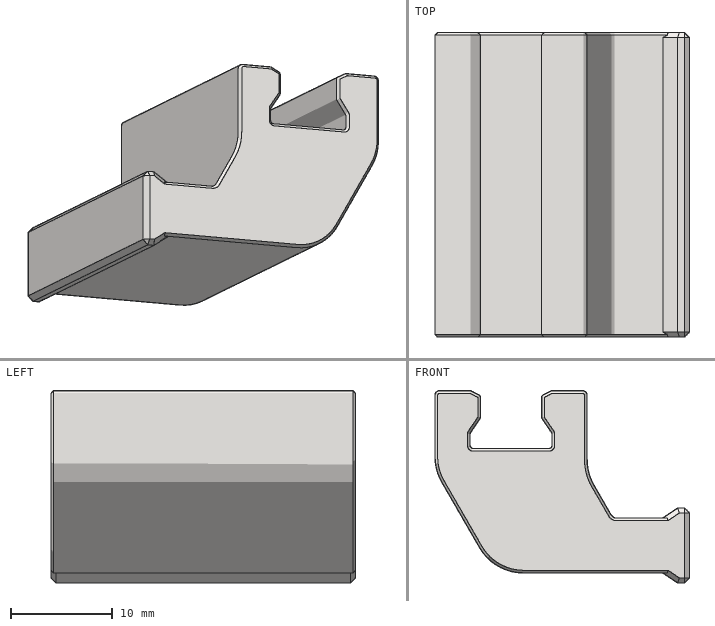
import cadquery as cq
import math

width = 25.08
length = 30.0
height = 18.95

lip_height = 7.4
lip_overhang = 1.0
lip_base_x = 22.45
lip_crest_x = 23.9
lip_chamfer = 0.5

foot_bottom = lip_overhang
foot_top = lip_height - lip_overhang
body_width = 15.0
knee_z = 11.1
throat_z = 10.8
lean = math.radians(30)
bend_radius = 5.0
foot_fillet = 0.6
top_fillet = 0.48
end_chamfer = 0.27

slot_center_x = body_width / 2
slot_mouth_half = 3.0
slot_floor_half = 4.02
slot_floor_z = 13.25
slot_shoulder_z = 14.75
slot_neck_z = 16.25
slot_fillet = 0.3
mouth_bevel_width = 1.0
mouth_bevel_depth = 0.5

knee = (0, knee_z)
heel = ((knee_z - foot_bottom) * math.tan(lean), foot_bottom)
throat = (body_width, throat_z)
foot_root = (body_width + (throat_z - foot_top) * math.tan(lean), foot_top)
left_top = (0, height)
right_top = (body_width, height)


def slot_wall(side):
    """Corners of one slot wall, from the top face down to the floor; side is -1 or +1."""
    half_widths_and_levels = [
        (slot_mouth_half + mouth_bevel_width, height),
        (slot_mouth_half, height - mouth_bevel_depth),
        (slot_mouth_half, slot_neck_z),
        (slot_floor_half, slot_shoulder_z),
        (slot_floor_half, slot_floor_z),
    ]
    return [(slot_center_x + side * half, z) for half, z in half_widths_and_levels]


slot = slot_wall(-1) + slot_wall(1)[::-1]
lip = [
    (lip_base_x, foot_top),
    (lip_crest_x, lip_height),
    (width, lip_height),
    (width, 0),
    (lip_crest_x, 0),
    (lip_base_x, foot_bottom),
]
outline = [knee, left_top] + slot + [right_top, throat, foot_root] + lip + [heel]


def fillet_corners(body, corners, radius):
    """Round the lengthwise edges that pass through the given profile corners."""
    for x, z in corners:
        at_corner = cq.selectors.NearestToPointSelector((x, 0, z))
        body = body.edges("|Y").edges(at_corner).fillet(radius)
    return body


def chamfer_lip(body):
    """Bevel the outer face of the lip and the lip's part of both ends."""
    rim = [edge for edge in body.faces("<Y or >Y").edges().vals() if edge.Center().x > lip_base_x]
    long_edges = body.faces(">X").edges("|Y").vals()
    return body.newObject(rim + long_edges).chamfer(lip_chamfer)


def chamfer_ends(body):
    """Bevel the rest of both ends, up to the lip."""
    rim = [edge for edge in body.faces("<Y or >Y").edges().vals() if edge.Center().x < lip_base_x]
    return body.newObject(rim).chamfer(end_chamfer)


body = cq.Workplane("XZ").polyline(outline).close().extrude(length / 2, both=True)
body = fillet_corners(body, [knee, heel, throat], bend_radius)
body = fillet_corners(body, [foot_root], foot_fillet)
body = fillet_corners(body, [left_top, right_top], top_fillet)
body = fillet_corners(body, slot, slot_fillet)
body = chamfer_lip(body)
result = chamfer_ends(body)